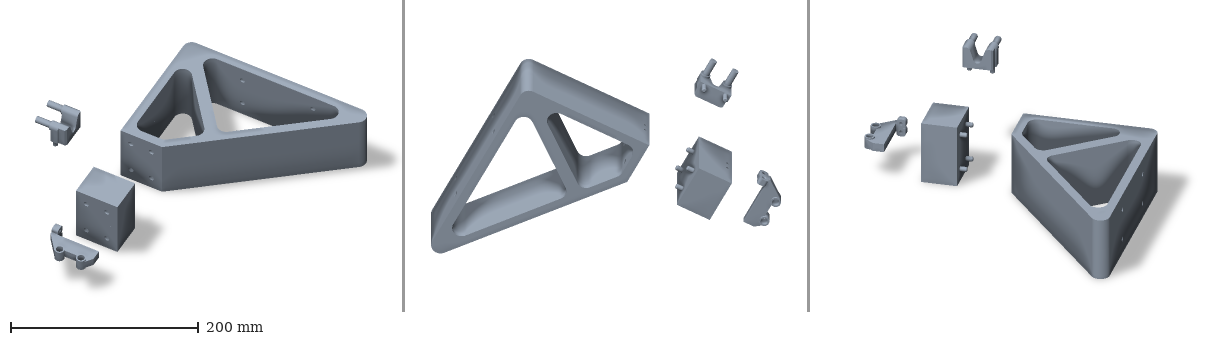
import cadquery as cq
import math

total_height = 70.0
half_height = total_height / 2
end_width = 50.3
peg_diameter = 5.5
peg_hole_diameter = 6.0
peg_chamfer = 1.0
peg_first_x = 12.5
peg_spacing = 25.0
peg_offset_z = 20.5
peg_xs = [peg_first_x, peg_first_x + peg_spacing]
screw_hole_diameter = 3.1
screw_hole_depth = 10.0
screw_offset_y = 4.7
screw_offset_z = 5.0

frame_length = 221.5
frame_depth = 150.0
frame_wall = 10.0
frame_corner_radius = 10.0
rib_thickness = 13.8
rib_left_y = 154.0
wall_hole_xs = [71.7, 157.2]
wall_hole_diameter = 5.7

block_back_y = -59.8
block_depth = 39.5
block_front_y = block_back_y - block_depth
block_peg_length = 8.0
block_hole_depth = 10.0

hinge_back_y = -140.3
hinge_plate_thickness = 4.7
hinge_web_depth = 16.7
hinge_left_depth = 2.0
hinge_right_depth = 12.3
boss_diameter = 11.0
boss_bore_diameter = 8.0
boss_height = 6.5
boss_first_x = 12.5
boss_front_y = -164.5
boss_y = boss_front_y + boss_diameter / 2
knuckle_length = 7.5
knuckle_width = 10.0
knuckle_gap = 0.5
knuckle_height = 10.0
knuckle_fillet = 3.0
knuckle_bore_diameter = 3.8
knuckle_bore_chamfer = 0.5

arm_spacing = 26.0
arm_radius = boss_diameter / 2
bracket_face_x = -43.7
bracket_thickness = 18.2
bracket_centre_y = -57.2
bracket_bottom_z = 68.0
arm_height = 19.0
valley_floor = 6.5
valley_radius = 4.5
collar_thickness = 2.0
rod_diameter = 7.5
rod_length = 18.0
side_inset = 1.5
side_step_run = 1.0
side_step_x = 8.2
rear_chamfer = 2.0

dowel_spacing = 25.5
dowel_exposed_length = 10.5
dowel_seat_depth = 2.0
dowel_hole_depth = 4.7
dowel_axis_offset = 2.8


def tangent_point(point, centre, radius, side):
    """Touching point on a circle of the tangent from a point; side +1 or -1 picks which one."""
    dx = point[0] - centre[0]
    dy = point[1] - centre[1]
    angle = math.atan2(dy, dx) + side * math.acos(radius / math.hypot(dx, dy))
    return (centre[0] + radius * math.cos(angle), centre[1] + radius * math.sin(angle))


def cylinder(diameter, length, start, direction):
    """Cylinder that runs from a start point along a direction."""
    return cq.Workplane(cq.Solid.makeCylinder(diameter / 2, length, cq.Vector(*start), cq.Vector(*direction)))


def mirrored(body):
    """Copy of a body on the other side of the parting plane."""
    return body.mirror("XY")


foot_corner = (end_width, 0)
tip_centre = (frame_length - frame_corner_radius, frame_depth - frame_corner_radius)
tip_touch = tangent_point(foot_corner, tip_centre, frame_corner_radius, 1)
slant_length = math.dist(foot_corner, tip_touch)
slant_x = (tip_touch[0] - foot_corner[0]) / slant_length
slant_y = (tip_touch[1] - foot_corner[1]) / slant_length


def slant_at(y):
    """X of the inner side of the slanted wall at a given Y."""
    return end_width - frame_wall / slant_y + y * slant_x / slant_y


def rib_side(offset):
    """Y on the left side (extended) through which a side of the rib passes."""
    return rib_left_y + offset / slant_y


def slant_meets_rib(left_y):
    """Corner between the slanted wall and the rib side that passes through (0, left_y)."""
    x = (slant_at(0) * slant_y / slant_x + left_y) / (slant_y / slant_x + slant_x / slant_y)
    return (x, left_y - x * slant_x / slant_y)


def make_upper_frame():
    outline = (
        cq.Workplane("XY")
        .moveTo(0, 0)
        .lineTo(*foot_corner)
        .lineTo(*tip_touch)
        .threePointArc(
            (tip_centre[0] + frame_corner_radius, tip_centre[1]),
            (tip_centre[0], frame_depth),
        )
        .lineTo(0, frame_depth)
        .close()
        .extrude(half_height)
    )
    frame = outline.edges("|Z and <X and >Y").fillet(frame_corner_radius)

    inner_back_y = frame_depth - frame_wall
    rib_slope = slant_x / slant_y
    upper_rib_y = rib_side(rib_thickness / 2)
    lower_rib_y = rib_side(-rib_thickness / 2)
    large_window = [
        ((upper_rib_y - inner_back_y) / rib_slope, inner_back_y),
        (slant_at(inner_back_y), inner_back_y),
        slant_meets_rib(upper_rib_y),
    ]
    small_window = [
        (frame_wall, frame_wall),
        (slant_at(frame_wall), frame_wall),
        slant_meets_rib(lower_rib_y),
        (frame_wall, lower_rib_y - frame_wall * rib_slope),
    ]
    for corners in (large_window, small_window):
        window = cq.Workplane("XY").polyline(corners).close().extrude(half_height)
        frame = frame.cut(window.edges("|Z").fillet(frame_corner_radius))

    for x in peg_xs:
        frame = frame.cut(cylinder(peg_hole_diameter, frame_wall, (x, 0, peg_offset_z), (0, 1, 0)))
    for x in wall_hole_xs:
        frame = frame.cut(
            cylinder(wall_hole_diameter, frame_wall, (x, inner_back_y, half_height / 2), (0, 1, 0))
        )
    return frame.cut(
        cylinder(screw_hole_diameter, screw_hole_depth, (0, screw_offset_y, screw_offset_z), (1, 0, 0))
    )


def make_upper_block():
    block = cq.Workplane("XY").box(end_width, block_depth, half_height, centered=False)
    block = block.translate((0, block_front_y, 0))
    for x in peg_xs:
        peg = cylinder(peg_diameter, block_peg_length, (x, block_back_y, peg_offset_z), (0, 1, 0))
        hole = cylinder(peg_hole_diameter, block_hole_depth, (x, block_front_y, peg_offset_z), (0, 1, 0))
        block = block.union(peg.faces(">Y").chamfer(peg_chamfer)).cut(hole)
    screw_start = (0, block_front_y + screw_offset_y, screw_offset_z)
    return block.cut(cylinder(screw_hole_diameter, screw_hole_depth, screw_start, (1, 0, 0)))


boss_centres = [(boss_first_x, boss_y), (boss_first_x + arm_spacing, boss_y)]


def make_upper_hinge():
    left_corner = (-knuckle_length, hinge_back_y - hinge_left_depth)
    right_corner = (end_width, hinge_back_y - hinge_right_depth)
    web_y = hinge_back_y - hinge_web_depth
    hinge = (
        cq.Workplane("XY")
        .polyline(
            [
                (-knuckle_length, hinge_back_y),
                left_corner,
                tangent_point(left_corner, boss_centres[0], boss_diameter / 2, 1),
                boss_centres[0],
                (boss_centres[0][0], web_y),
                (boss_centres[1][0], web_y),
                boss_centres[1],
                tangent_point(right_corner, boss_centres[1], boss_diameter / 2, -1),
                right_corner,
                (end_width, hinge_back_y),
            ]
        )
        .close()
        .extrude(hinge_plate_thickness)
    )
    knuckle = cq.Workplane("XY").box(knuckle_length, knuckle_width, knuckle_height, centered=False)
    knuckle = knuckle.edges("|X").fillet(knuckle_fillet).translate((0, knuckle_gap, 0))
    neck_depth = knuckle_gap + knuckle_fillet
    neck = cq.Workplane("XY").box(knuckle_length, neck_depth, hinge_plate_thickness, centered=False)
    bore_start = (0, knuckle_gap + knuckle_width / 2, knuckle_height / 2)
    bore = cylinder(knuckle_bore_diameter, knuckle_length, bore_start, (1, 0, 0))
    knuckle = knuckle.union(neck).cut(bore)
    bore_rim = knuckle.faces("<X").edges("%CIRCLE").edges(cq.selectors.RadiusNthSelector(0))
    knuckle = bore_rim.chamfer(knuckle_bore_chamfer)
    hinge = hinge.union(knuckle.translate((-knuckle_length, hinge_back_y, 0)))

    bosses = cq.Workplane("XY").pushPoints(boss_centres).circle(boss_diameter / 2).extrude(boss_height)
    bores = cq.Workplane("XY").pushPoints(boss_centres).circle(boss_bore_diameter / 2).extrude(boss_height)
    return hinge.union(bosses).cut(bores)


arm_offset = arm_spacing / 2
arm_ys = [bracket_centre_y - arm_offset, bracket_centre_y + arm_offset]
rod_axis_z = bracket_bottom_z + arm_height
dowel_centre_x = bracket_face_x + dowel_axis_offset
dowel_ys = [bracket_centre_y - dowel_spacing / 2, bracket_centre_y + dowel_spacing / 2]


def make_dowel(y):
    """Peg with a chamfered tip, seated in the bracket bottom close behind the bracket face."""
    top = (dowel_centre_x, y, bracket_bottom_z + dowel_seat_depth)
    dowel = cylinder(peg_diameter, dowel_seat_depth + dowel_exposed_length, top, (0, 0, -1))
    return dowel.faces("<Z").chamfer(peg_chamfer)


def bracket_profile():
    """Outline up to the arm axes with a round valley between them, in Y and Z from the bottom centre."""
    valley_z = valley_floor + valley_radius
    rise = arm_height - valley_z
    normal_angle = math.atan2(rise, arm_offset) - math.acos(
        (arm_radius + valley_radius) / math.hypot(arm_offset, rise)
    )
    normal_y = math.cos(normal_angle)
    normal_z = math.sin(normal_angle)
    arm_touch_y = arm_offset - arm_radius * normal_y
    arm_touch_z = arm_height - arm_radius * normal_z
    valley_touch_y = valley_radius * normal_y
    valley_touch_z = valley_z + valley_radius * normal_z
    side_y = arm_offset + arm_radius
    return (
        cq.Workplane("YZ")
        .moveTo(-side_y, 0)
        .lineTo(side_y, 0)
        .lineTo(side_y, arm_height)
        .lineTo(arm_offset, arm_height)
        .lineTo(arm_touch_y, arm_touch_z)
        .lineTo(valley_touch_y, valley_touch_z)
        .threePointArc((0, valley_floor), (-valley_touch_y, valley_touch_z))
        .lineTo(-arm_touch_y, arm_touch_z)
        .lineTo(-arm_offset, arm_height)
        .lineTo(-side_y, arm_height)
        .close()
    )


def make_bracket():
    body = bracket_profile().extrude(bracket_thickness)
    for y in (-arm_offset, arm_offset):
        arm_length = collar_thickness + bracket_thickness
        body = body.union(cylinder(2 * arm_radius, arm_length, (-collar_thickness, y, arm_height), (1, 0, 0)))

    side_y = arm_offset + arm_radius
    inset_y = side_y - side_inset
    right_half = [
        (-collar_thickness, side_y),
        (side_step_x, side_y),
        (side_step_x + side_step_run, inset_y),
        (bracket_thickness - rear_chamfer, inset_y),
        (bracket_thickness, inset_y - rear_chamfer),
    ]
    left_half = [(x, -y) for x, y in reversed(right_half)]
    plan = cq.Workplane("XY").polyline(right_half + left_half).close().extrude(arm_height + arm_radius)
    bracket = body.intersect(plan).translate((bracket_face_x, bracket_centre_y, bracket_bottom_z))

    for y in arm_ys:
        collar_centre = (bracket_face_x - collar_thickness, y, rod_axis_z)
        bracket = bracket.union(cylinder(rod_diameter, rod_length, collar_centre, (-1, 0, 0)))
    for y in dowel_ys:
        hole_start = (dowel_centre_x, y, bracket_bottom_z)
        bracket = bracket.cut(cylinder(peg_diameter, dowel_hole_depth, hole_start, (0, 0, 1)))
    return bracket


bodies = []
for make_half in (make_upper_frame, make_upper_block, make_upper_hinge):
    upper_half = make_half()
    bodies.append(upper_half.solids().val())
    bodies.append(mirrored(upper_half).solids().val())
bodies.append(make_bracket().solids().val())
for dowel_y in dowel_ys:
    bodies.append(make_dowel(dowel_y).solids().val())

result = cq.Compound.makeCompound(bodies)